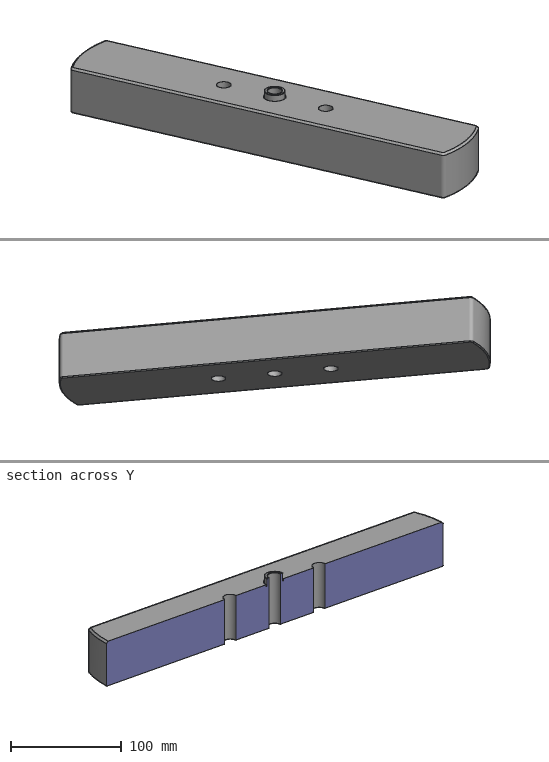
import cadquery as cq
import math

length = 395.0
width = 68.0
total_height = 51.0
boss_height = 6.0
body_height = total_height - boss_height

end_radius = 91.5
corner_radius = 4.0
top_chamfer = 2.0
bottom_chamfer = 1.0

boss_diameter = 19.0
boss_rim_chamfer = 0.5
groove_diameter = 20.0
groove_depth = 2.0
hole_diameter = 13.0
hole_spacing = 52.0


def bar_body():
    """Bar with straight sides, outward-bowed ends and rounded vertical corners."""
    half_length = length / 2
    half_width = width / 2
    end_bow = end_radius - math.sqrt(end_radius**2 - half_width**2)
    shoulder = half_length - end_bow
    return (
        cq.Workplane("XY")
        .moveTo(-shoulder, -half_width)
        .lineTo(shoulder, -half_width)
        .threePointArc((half_length, 0), (shoulder, half_width))
        .lineTo(-shoulder, half_width)
        .threePointArc((-half_length, 0), (-shoulder, -half_width))
        .close()
        .extrude(body_height)
        .edges("|Z")
        .fillet(corner_radius)
        .faces(">Z")
        .chamfer(top_chamfer)
        .faces("<Z")
        .chamfer(bottom_chamfer)
    )


def boss():
    """Round boss standing on the top face."""
    return (
        cq.Workplane("XY")
        .workplane(offset=body_height)
        .circle(boss_diameter / 2)
        .extrude(boss_height)
    )


def boss_groove():
    """Narrow ring-shaped groove in the top face around the foot of the boss."""
    return (
        cq.Workplane("XY")
        .workplane(offset=body_height)
        .circle(groove_diameter / 2)
        .circle(boss_diameter / 2)
        .extrude(-groove_depth)
    )


def through_holes():
    """Row of three equal holes along the bar, the middle one through the boss."""
    return (
        cq.Workplane("XY")
        .rarray(hole_spacing, 4, 3, 1)
        .circle(hole_diameter / 2)
        .extrude(total_height)
    )


result = bar_body().union(boss()).cut(boss_groove()).cut(through_holes())

result = result.faces(">Z").edges().chamfer(boss_rim_chamfer)